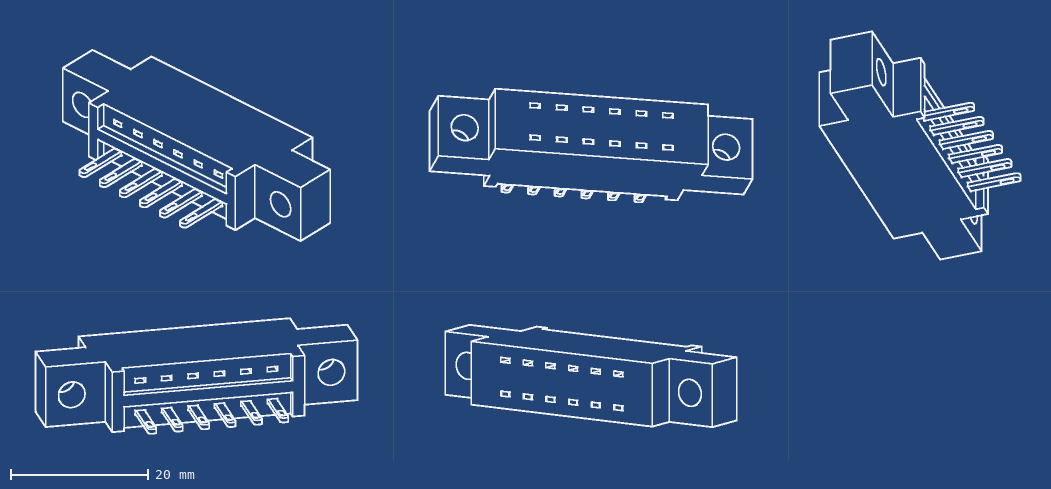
import cadquery as cq

HOUSING_HEIGHT = 9.4
BODY_WIDTH = 31.72
BODY_DEPTH = 4.5
FLANGE_SPAN = 46.8
FLANGE_DEPTH = 6.45
NECK_WIDTH = 28.85
NECK_DEPTH = 4.25

MOUNT_HOLE_DIAMETER = 4.0
MOUNT_HOLE_SPACING = 38.95

RECESS_WIDTH = 25.25
RECESS_DEPTH = 1.25
RIB_HEIGHT = 1.82

CONTACT_COUNT = 6
CONTACT_SPAN = 19.8
CONTACT_PITCH = CONTACT_SPAN / (CONTACT_COUNT - 1)
ROW_SPACING = 5.0
SLOT_WIDTH = 1.55
SLOT_HEIGHT = 0.7

PIN_WIDTH = 1.25
PIN_HEIGHT = SLOT_HEIGHT
PIN_TIP_RADIUS = 0.5
PIN_PROTRUSION = 6.65
EYE_WIDTH = 0.85
EYE_LENGTH = 2.05
EYE_TO_TIP = 1.05

FRONT_Y = 0.0
FLANGE_FRONT_Y = FRONT_Y + NECK_DEPTH
FLANGE_BACK_Y = FLANGE_FRONT_Y + FLANGE_DEPTH
BACK_Y = FLANGE_BACK_Y + BODY_DEPTH
RECESS_FLOOR_Y = FRONT_Y + RECESS_DEPTH
PIN_TIP_Y = FRONT_Y - PIN_PROTRUSION

UPPER_ROW_Z = ROW_SPACING / 2
LOWER_ROW_Z = -ROW_SPACING / 2
CONTACT_XS = [-CONTACT_SPAN / 2 + i * CONTACT_PITCH for i in range(CONTACT_COUNT)]


def block(width, height, front_y, back_y, x=0.0, z=0.0):
    """Box centred on x and z, running from front_y to back_y."""
    centre = (x, (front_y + back_y) / 2, z)
    return cq.Workplane("XY", origin=centre).box(width, back_y - front_y, height)


def stepped_block():
    """Neck, flanges and rear body stacked from front to back."""
    neck = block(NECK_WIDTH, HOUSING_HEIGHT, FRONT_Y, FLANGE_FRONT_Y)
    flanges = block(FLANGE_SPAN, HOUSING_HEIGHT, FLANGE_FRONT_Y, FLANGE_BACK_Y)
    body = block(BODY_WIDTH, HOUSING_HEIGHT, FLANGE_BACK_Y, BACK_Y)
    return neck.union(flanges).union(body)


def mounting_holes():
    """Cylinders through both flanges along Y."""
    return (
        cq.Workplane("XZ", origin=(0, FLANGE_BACK_Y, 0))
        .pushPoints([(-MOUNT_HOLE_SPACING / 2, 0), (MOUNT_HOLE_SPACING / 2, 0)])
        .circle(MOUNT_HOLE_DIAMETER / 2)
        .extrude(FLANGE_DEPTH)
    )


def front_recesses():
    """Recesses open to the top and bottom faces, leaving the rib between them."""
    recess = block(RECESS_WIDTH, HOUSING_HEIGHT, FRONT_Y, RECESS_FLOOR_Y)
    rib = block(RECESS_WIDTH, RIB_HEIGHT, FRONT_Y, RECESS_FLOOR_Y)
    return recess.cut(rib)


def make_housing():
    """Stepped block with its mounting holes, front recesses and two rows of through slots."""
    housing = stepped_block().cut(mounting_holes()).cut(front_recesses())
    for x in CONTACT_XS:
        for z in (UPPER_ROW_Z, LOWER_ROW_Z):
            housing = housing.cut(block(SLOT_WIDTH, SLOT_HEIGHT, RECESS_FLOOR_Y, BACK_Y, x, z))
    return housing


def make_pin(x):
    """Flat pin with rounded tip corners and an elongated eye near the tip."""
    pin = block(PIN_WIDTH, PIN_HEIGHT, PIN_TIP_Y, BACK_Y, x, LOWER_ROW_Z)
    pin = pin.edges("|Z and <Y").fillet(PIN_TIP_RADIUS)
    eye = (
        cq.Workplane("XY", origin=(x, PIN_TIP_Y + EYE_TO_TIP + EYE_LENGTH / 2, LOWER_ROW_Z))
        .slot2D(EYE_LENGTH, EYE_WIDTH, 90)
        .extrude(PIN_HEIGHT, both=True)
    )
    return pin.cut(eye)


housing = make_housing()
pins = [make_pin(x) for x in CONTACT_XS]
result = cq.Compound.makeCompound([housing.val(), *[pin.val() for pin in pins]])